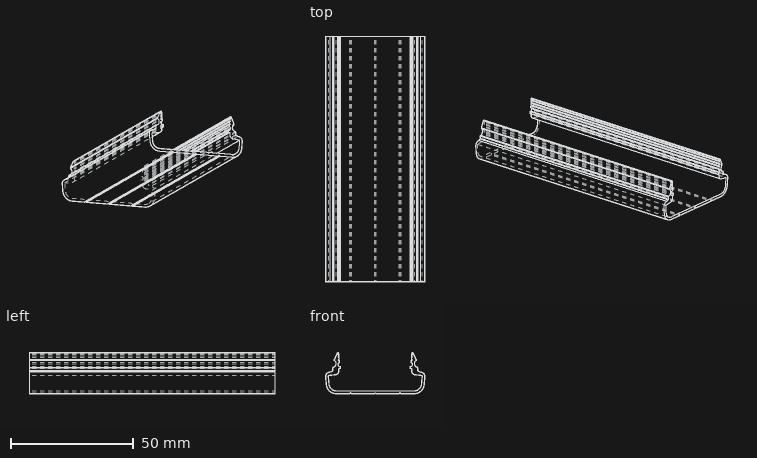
import cadquery as cq
import math

length = 100.0
width = 40.5
height = 16.9
wall = 1.2

wall_lean = math.radians(5.0)
corner_radius = 4.2
shoulder_radius = 1.9
shoulder_x = width / 2 - shoulder_radius
shoulder_z = 7.0
shoulder_top = shoulder_z + shoulder_radius
ceiling_z = 7.4
ceiling_rise = 0.3

leg_inner_x = 14.8
leg_outer_x = 17.4
leg_bend = 1.6
step_foot_x = 17.5
step_foot_z = 9.3
step_bottom = 9.5
step_top = 10.5
step_shelf_x = 17.2
step_shelf_z = 10.8
lip_x = 14.2
lip_bottom = 10.3
lip_top = 11.2
neck_z = 12.1
neck_inner_x = 15.2
neck_outer_x = 16.0
barb_x = 16.7
barb_bottom = 13.6
barb_top = 13.9
barb_inner_x = 14.6
barb_inner_z = 12.8
tip_x = 15.1
tip_outer_x = 15.4
tip_base_z = 16.7
tip_inner_x = 14.9

tooth_heights = (13.8, 14.9, 16.0)
tooth_root_x = 15.1
tooth_width = 0.3

score_spacing = 10.1
score_width = 0.8
score_depth = 0.4


def on_circle(center_x, center_z, radius, angle):
    """Point on a circle, with the angle measured up from +X."""
    return center_x + radius * math.cos(angle), center_z + radius * math.sin(angle)


def extrude(outline):
    """Extrude a closed XZ outline along the full length, centred on Y."""
    return outline.close().extrude(length / 2, both=True)


def half_channel():
    """The +X half of the channel, without grooves."""
    normal_x = math.cos(wall_lean)
    normal_z = -math.sin(wall_lean)
    wall_offset = normal_x * shoulder_x + normal_z * shoulder_z + shoulder_radius
    corner_x = (wall_offset - corner_radius - normal_z * corner_radius) / normal_x
    ceiling_corner_x = (wall_offset - wall - normal_z * ceiling_z) / normal_x

    inner_radius = corner_radius - wall
    wall_angle = -wall_lean
    corner_mid_angle = (wall_angle - math.pi / 2) / 2
    shoulder_mid_angle = (wall_angle + math.pi / 2) / 2
    bend_center_x = leg_inner_x + leg_bend
    bend_center_z = ceiling_z + ceiling_rise + leg_bend

    outline = (
        cq.Workplane("XZ")
        .moveTo(0, 0)
        .lineTo(corner_x, 0)
        .threePointArc(
            on_circle(corner_x, corner_radius, corner_radius, corner_mid_angle),
            on_circle(corner_x, corner_radius, corner_radius, wall_angle),
        )
        .lineTo(*on_circle(shoulder_x, shoulder_z, shoulder_radius, wall_angle))
        .threePointArc(
            on_circle(shoulder_x, shoulder_z, shoulder_radius, shoulder_mid_angle),
            (shoulder_x, shoulder_top),
        )
        .lineTo(step_foot_x, step_foot_z)
        .lineTo(leg_outer_x, step_bottom)
        .lineTo(leg_outer_x, step_top)
        .lineTo(step_shelf_x, step_shelf_z)
        .threePointArc((neck_outer_x, neck_z), (barb_x, barb_bottom))
        .lineTo(barb_x, barb_top)
        .lineTo(tip_outer_x, tip_base_z)
        .lineTo(tip_x, height)
        .lineTo(tip_inner_x, tip_base_z)
        .lineTo(barb_inner_x, barb_inner_z)
        .lineTo(neck_inner_x, neck_z)
        .lineTo(leg_inner_x, lip_top)
        .lineTo(lip_x, lip_top)
        .lineTo(lip_x, lip_bottom)
        .lineTo(leg_inner_x, lip_bottom)
        .lineTo(leg_inner_x, bend_center_z)
        .threePointArc(
            on_circle(bend_center_x, bend_center_z, leg_bend, -3 * math.pi / 4),
            (bend_center_x, bend_center_z - leg_bend),
        )
        .lineTo(ceiling_corner_x, ceiling_z)
        .lineTo(*on_circle(corner_x, corner_radius, inner_radius, wall_angle))
        .threePointArc(
            on_circle(corner_x, corner_radius, inner_radius, corner_mid_angle),
            (corner_x, wall),
        )
        .lineTo(0, wall)
    )
    return extrude(outline)


def tooth_groove(z):
    """Wedge whose root lies inside the +X leg and which opens past its inner face."""
    flank_slope = (tip_inner_x - barb_inner_x) / (tip_base_z - barb_inner_z)
    face_x = barb_inner_x + flank_slope * (z - barb_inner_z)
    mouth_x = 2 * face_x - tooth_root_x
    wedge = (
        cq.Workplane("XZ")
        .moveTo(tooth_root_x, z)
        .lineTo(mouth_x, z + tooth_width)
        .lineTo(mouth_x, z - tooth_width)
    )
    return extrude(wedge)


def score_line(x):
    """Wedge cut up into the underside of the floor."""
    wedge = (
        cq.Workplane("XZ")
        .moveTo(x - score_width / 2, 0)
        .lineTo(x, score_depth)
        .lineTo(x + score_width / 2, 0)
    )
    return extrude(wedge)


half = half_channel()
for tooth_z in tooth_heights:
    half = half.cut(tooth_groove(tooth_z))

result = half.union(half.mirror("YZ")).clean()
for score_x in (-score_spacing, 0, score_spacing):
    result = result.cut(score_line(score_x))